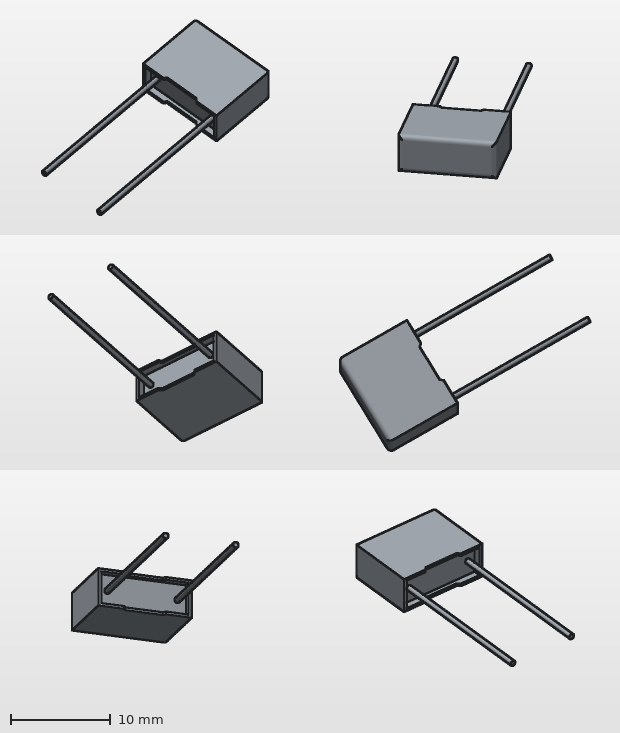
import cadquery as cq


case_width = 10.0
case_length = 8.0
case_height = 4.0
side_wall = 0.35
broad_wall = 0.3
end_wall = side_wall
end_fillet = 0.5

notch_depth = 0.3
notch_floor_width = 4.0
notch_mouth_width = 4.5

fill_recess = 0.8
cavity_width = case_width - 2 * side_wall
cavity_height = case_height - 2 * broad_wall
cavity_length = case_length - end_wall

lead_diameter = 0.6
lead_pitch = 7.5
lead_reach = 16.0
lead_length = lead_reach + fill_recess


def block_from(y_start, width, length, height):
    """Block centred on X and Z that runs toward +Y from y_start."""
    block = cq.Workplane("XY").box(width, length, height, centered=(True, False, True))
    return block.translate((0, y_start, 0))


def make_notch_cutter():
    """Trapezoid through the full height, narrowing from the rim inward."""
    return (
        cq.Workplane("XY")
        .moveTo(-notch_mouth_width / 2, 0)
        .lineTo(notch_mouth_width / 2, 0)
        .lineTo(notch_floor_width / 2, notch_depth)
        .lineTo(-notch_floor_width / 2, notch_depth)
        .close()
        .extrude(case_height / 2, both=True)
    )


def make_case():
    shell = block_from(0, case_width, case_length, case_height)
    shell = shell.faces(">Y").edges().fillet(end_fillet)
    cavity = block_from(0, cavity_width, cavity_length, cavity_height)
    return shell.cut(cavity).cut(make_notch_cutter())


def make_fill():
    return block_from(fill_recess, cavity_width, cavity_length - fill_recess, cavity_height)


def make_lead(x_center):
    """Round wire that starts on the fill face and runs toward -Y."""
    lead = cq.Workplane("XZ").circle(lead_diameter / 2).extrude(lead_length)
    return lead.translate((x_center, fill_recess, 0))


case = make_case()
fill = make_fill()
leads = [make_lead(side * lead_pitch / 2) for side in (-1, 1)]

result = cq.Compound.makeCompound([case.val(), fill.val(), *[lead.val() for lead in leads]])